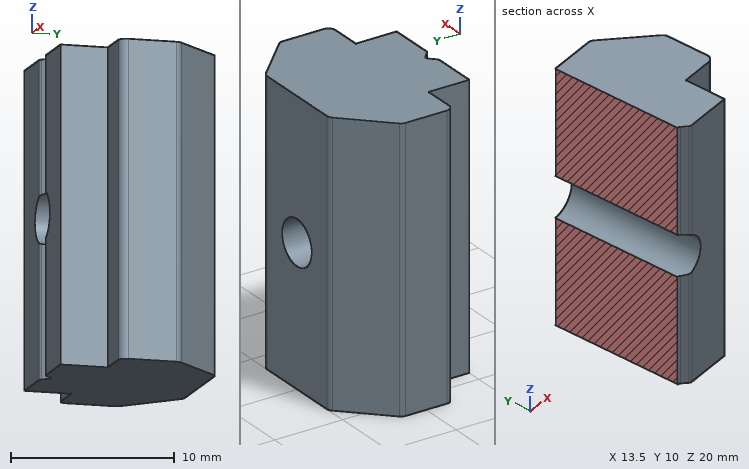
import cadquery as cq

width = 13.5
depth = 10.0
length = 20.0

stem_width = 8.0
stem_depth = 3.0
back_width = 7.0
front_edge_radius = 0.5
back_edge_radius = 0.5

groove_depth = 0.62
groove_root_radius = 0.25
groove_lip_radius = 0.3
groove_half_width = groove_depth

hole_diameter = 3.25

half_width = width / 2
half_stem = stem_width / 2
back_chamfer = (width - back_width) / 2
front = -depth / 2
back = depth / 2
shoulder = front + stem_depth
bottom = -length / 2


def make_body():
    """Extrude the T-shaped profile with its sloped back corners."""
    body = (
        cq.Workplane("XY", origin=(0, 0, bottom))
        .moveTo(-half_stem, front)
        .lineTo(half_stem, front)
        .lineTo(half_stem, shoulder)
        .lineTo(half_width, shoulder)
        .lineTo(half_width, back - back_chamfer)
        .lineTo(half_width - back_chamfer, back)
        .lineTo(-half_width + back_chamfer, back)
        .lineTo(-half_width, back - back_chamfer)
        .lineTo(-half_width, shoulder)
        .lineTo(-half_stem, shoulder)
        .close()
        .extrude(length)
    )
    for side in (-1, 1):
        edge = cq.selectors.NearestToPointSelector((side * half_width, shoulder, 0))
        body = body.edges(edge).fillet(front_edge_radius)
    for side in (-1, 1):
        for x, y in (
            (side * half_width, back - back_chamfer),
            (side * (half_width - back_chamfer), back),
        ):
            body = body.edges(cq.selectors.NearestToPointSelector((x, y, 0))).fillet(back_edge_radius)
    return body


def cut_groove(body):
    """Cut the front V groove, then round its root and both lips."""
    groove = (
        cq.Workplane("XY", origin=(0, 0, bottom))
        .moveTo(-groove_half_width, front)
        .lineTo(0, front + groove_depth)
        .lineTo(groove_half_width, front)
        .close()
        .extrude(length)
    )
    body = body.cut(groove)
    root = cq.selectors.NearestToPointSelector((0, front + groove_depth, 0))
    body = body.edges(root).fillet(groove_root_radius)
    for side in (-1, 1):
        lip = cq.selectors.NearestToPointSelector((side * groove_half_width, front, 0))
        body = body.edges(lip).fillet(groove_lip_radius)
    return body


def make_hole():
    """Round hole through the full depth, centred on the front face."""
    return (
        cq.Workplane("XZ", origin=(0, back, 0))
        .circle(hole_diameter / 2)
        .extrude(depth)
    )


result = cut_groove(make_body()).cut(make_hole())